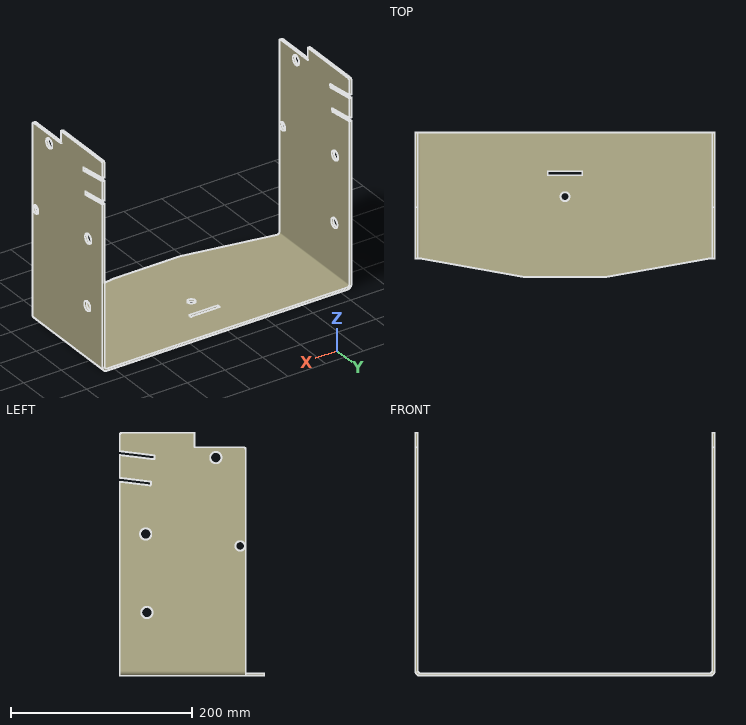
import cadquery as cq
import math

width = 330.2
depth = 159.5
height = 268.0
thickness = 3.0
inner_bend_radius = 3.0
outer_bend_radius = inner_bend_radius + thickness

wall_depth = 139.0
tall_edge_depth = 82.5
step_drop = 16.0
corner_radius = 2.5
wall_holes = [
    (106.0, 27.5, 12.2),
    (28.7, 111.5, 12.2),
    (30.0, 198.0, 12.2),
    (132.7, 124.8, 10.2),
]
wall_slits = [
    (22.5, 38.5),
    (52.0, 34.7),
]
slit_width = 4.0
slit_angle = 7.0

nose_width = 89.0
base_slot_length = 38.0
base_slot_width = 4.0
base_slot_setback = 45.0
base_hole_diameter = 9.5
base_hole_setback = 70.5


def make_channel():
    """Bent sheet of constant thickness, open at the top."""
    outer = (
        cq.Workplane("XY")
        .box(width, 2 * depth, height, centered=(True, True, False))
        .edges("|Y and <Z")
        .fillet(outer_bend_radius)
    )
    inner = (
        cq.Workplane("XY")
        .box(width - 2 * thickness, 2 * depth, height, centered=(True, True, False))
        .translate((0, 0, thickness))
        .edges("|Y and <Z")
        .fillet(inner_bend_radius)
    )
    return outer.cut(inner)


def make_base_outline():
    """Plan outline with a front edge that tapers out to a flat nose."""
    half_width = width / 2
    flat_half_width = half_width - outer_bend_radius
    half_nose = nose_width / 2
    return (
        cq.Workplane("XY")
        .moveTo(-half_width, 0)
        .lineTo(half_width, 0)
        .lineTo(half_width, -wall_depth)
        .lineTo(flat_half_width, -wall_depth)
        .lineTo(half_nose, -depth)
        .lineTo(-half_nose, -depth)
        .lineTo(-flat_half_width, -wall_depth)
        .lineTo(-half_width, -wall_depth)
        .close()
        .extrude(height)
    )


def make_side_outline():
    """Stepped wall outline, extended forward at the bottom to keep the base nose."""
    step_height = height - step_drop
    outline = (
        cq.Workplane("YZ")
        .moveTo(0, 0)
        .lineTo(0, height)
        .lineTo(-tall_edge_depth, height)
        .lineTo(-tall_edge_depth, step_height)
        .lineTo(-wall_depth, step_height)
        .lineTo(-wall_depth, thickness)
        .lineTo(-depth, thickness)
        .lineTo(-depth, 0)
        .close()
        .extrude(width / 2, both=True)
    )
    back_corner = cq.selectors.NearestToPointSelector((0, 0, height))
    front_corner = cq.selectors.NearestToPointSelector((0, -wall_depth, step_height))
    return outline.edges("|X").edges(back_corner + front_corner).fillet(corner_radius)


def wall_hole(setback, drop, diameter):
    """Cutter for one round hole through both walls."""
    return (
        cq.Workplane("YZ")
        .center(-setback, height - drop)
        .circle(diameter / 2)
        .extrude(width / 2, both=True)
    )


def wall_slit(drop, length):
    """Cutter for one slit sloping down from the back edge through both walls."""
    overrun = slit_width
    cutter_length = length + overrun
    cutter_offset = (length - overrun) / 2
    slope = math.radians(slit_angle)
    return (
        cq.Workplane("YZ")
        .center(-cutter_offset * math.cos(slope), height - drop - cutter_offset * math.sin(slope))
        .transformed(rotate=(0, 0, slit_angle))
        .rect(cutter_length, slit_width)
        .extrude(width / 2, both=True)
    )


def base_cutouts():
    """Cutters for the narrow slot and the round hole in the base."""
    slot = (
        cq.Workplane("XY")
        .center(0, -base_slot_setback)
        .rect(base_slot_length, base_slot_width)
        .extrude(thickness)
    )
    hole = (
        cq.Workplane("XY")
        .center(0, -base_hole_setback)
        .circle(base_hole_diameter / 2)
        .extrude(thickness)
    )
    return slot.union(hole)


result = make_channel().intersect(make_base_outline()).intersect(make_side_outline())
for setback, drop, diameter in wall_holes:
    result = result.cut(wall_hole(setback, drop, diameter))
for drop, length in wall_slits:
    result = result.cut(wall_slit(drop, length))
result = result.cut(base_cutouts())